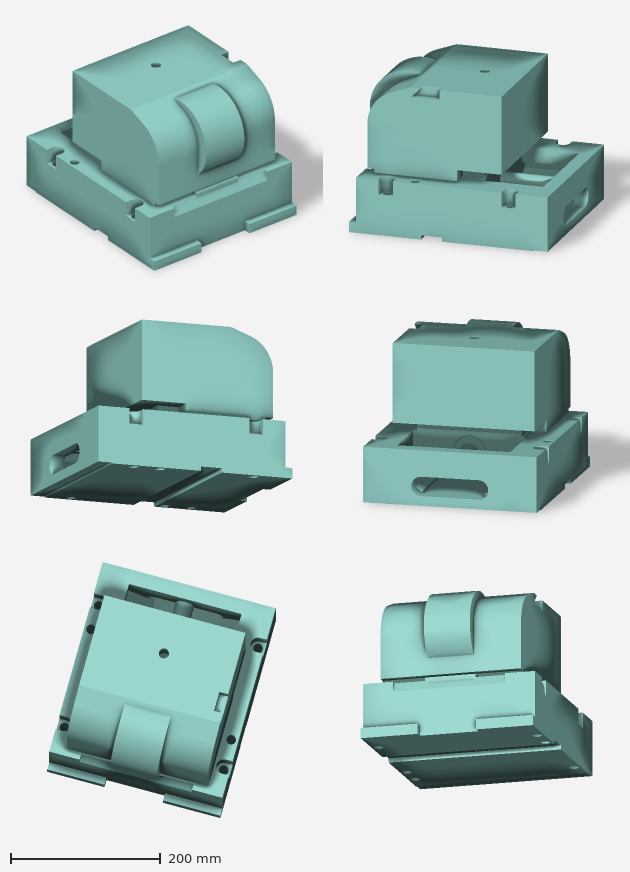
import cadquery as cq
import math

BASE_LENGTH = 270.0
BASE_WIDTH = 240.0
BASE_HEIGHT = 77.5
TOTAL_LENGTH = 280.0
TOE_HEIGHT = 14.3
TOE_GAP_WIDTH = 81.2
RELIEF_DEPTH = 1.0
KEYWAY_START = 148.5
KEYWAY_WIDTH = 30.0
KEYWAY_DEPTH = 6.0

END_WALL = 20.0
CHANNEL_OPENING = 156.0
UNDERCUT_WIDTH = 178.0
RAIL_THICKNESS = 21.0
FLOOR_HEIGHT = 18.0
FLOOR_WIDTH = 85.0
FLOOR_RELIEF = 3.5
FLANK_ANGLE = 30.0
FLANK_RISE = (UNDERCUT_WIDTH - FLOOR_WIDTH) / 2 * math.tan(math.radians(FLANK_ANGLE))

WINDOW_LENGTH = 105.8
WINDOW_HEIGHT = 26.5
WINDOW_CENTER_HEIGHT = FLOOR_HEIGHT - FLOOR_RELIEF + WINDOW_HEIGHT / 2

HOLE_DIAMETER = 13.0
HOLE_EDGE_DISTANCE = 9.5
HOLE_ROW = BASE_WIDTH / 2 - HOLE_EDGE_DISTANCE
BOLT_POSITIONS = (55.0, 228.0)
SEAT_WIDTH = 20.0
SEAT_DEPTH = 21.0
DOWEL_POINTS = [(189.8, HOLE_ROW), (93.2, -HOLE_ROW)]

HEAD_START = 72.0
HEAD_END = 261.2
HEAD_WIDTH = 195.7
HEAD_TOP = 205.0
HEAD_BOTTOM = 79.8
SLOPE_START = 200.2
SLOPE_ANGLE = 20.0
SHOULDER_RADIUS = 50.0
OVERHANG_END = 135.2
OVERHANG_HEIGHT = 95.2
STEP_START = 251.0
STEP_HEIGHT = 85.0
SIDE_NOTCH_START = 159.3
SIDE_NOTCH_LENGTH = 27.0
SIDE_NOTCH_DEPTH = 12.3
SIDE_NOTCH_DROP = 14.0
TOP_HOLE_POSITION = 128.0
TOP_HOLE_DIAMETER = 13.7
TOP_HOLE_DEPTH = 28.0
DRILL_POINT_ANGLE = 118.0

KEEL_START = 102.0
NECK_WIDTH = 154.0
WEB_START = 104.2
WEB_WIDTH = 144.8
WEB_STEP_HEIGHT = 83.0
KEEL_TOP_END = 262.0
KEEL_END_ANGLE = 60.0
PAD_END = 263.5
PAD_WIDTH = 70.0
PAD_TOP = 81.8
PAD_ROOT = 5.5

ROLLER_RADIUS = 55.0
ROLLER_WIDTH = 64.0
ROLLER_X = 224.8
ROLLER_Z = HEAD_TOP - ROLLER_RADIUS
ROD_RADIUS = 12.5
ROD_HEIGHT = 53.5
ROD_CHAMFER = 2.2
ROD_RECESS_RADIUS = 23.2
ROD_RECESS_DEPTH = 1.0
ROD_RECESS_TAPER = 45.0


def box(x_start, x_end, width, z_start, z_end):
    """Box spanning the given X and Z ranges, centred on the XZ plane."""
    return cq.Workplane("XY").box(
        x_end - x_start, width, z_end - z_start, centered=(False, True, False)
    ).translate((x_start, 0, z_start))


def channel_body(x_start, x_end, opening):
    """Solid with the channel section: flat floor, rising flanks, undercut and opening."""
    rail_bottom = BASE_HEIGHT - RAIL_THICKNESS
    right_side = [
        (FLOOR_WIDTH / 2, FLOOR_HEIGHT),
        (UNDERCUT_WIDTH / 2, FLOOR_HEIGHT + FLANK_RISE),
        (UNDERCUT_WIDTH / 2, rail_bottom),
        (opening / 2, rail_bottom),
        (opening / 2, BASE_HEIGHT),
    ]
    left_side = [(-y, z) for y, z in reversed(right_side)]
    return (
        cq.Workplane("YZ", origin=(x_start, 0, 0))
        .polyline(right_side + left_side)
        .close()
        .extrude(x_end - x_start)
    )


def cylinder_along_x(x_start, x_end, radius):
    return (
        cq.Workplane("YZ", origin=(x_start, 0, ROD_HEIGHT))
        .circle(radius)
        .extrude(x_end - x_start)
    )


def base_block():
    block = box(0, BASE_LENGTH, BASE_WIDTH, 0, BASE_HEIGHT)
    toe = box(BASE_LENGTH, TOTAL_LENGTH, BASE_WIDTH, 0, TOE_HEIGHT)
    toe_gap = box(BASE_LENGTH, TOTAL_LENGTH, TOE_GAP_WIDTH, 0, TOE_HEIGHT)
    relief = box(0, END_WALL, BASE_WIDTH, 0, RELIEF_DEPTH)
    keyway = box(KEYWAY_START, KEYWAY_START + KEYWAY_WIDTH, BASE_WIDTH, 0, KEYWAY_DEPTH)
    return block.union(toe.cut(toe_gap)).cut(relief).cut(keyway)


def floor_relief():
    """Clearance in the channel floor, closed by a ledge at the far end that carries the keel."""
    return box(
        END_WALL, BASE_LENGTH - END_WALL, FLOOR_WIDTH, FLOOR_HEIGHT - FLOOR_RELIEF, FLOOR_HEIGHT
    )


def end_wall_window():
    return (
        cq.Workplane("YZ", origin=(0, 0, WINDOW_CENTER_HEIGHT))
        .slot2D(WINDOW_LENGTH, WINDOW_HEIGHT)
        .extrude(END_WALL)
    )


def bolt_seat(x, side):
    """Round-ended seat, open to the side face, for a bolt head."""
    seat_bottom = BASE_HEIGHT - SEAT_DEPTH
    seat = (
        cq.Workplane("XY", origin=(x, side * HOLE_ROW, seat_bottom))
        .circle(SEAT_WIDTH / 2)
        .extrude(SEAT_DEPTH)
    )
    mouth = (
        cq.Workplane("XY", origin=(x, side * (HOLE_ROW + HOLE_EDGE_DISTANCE / 2), seat_bottom))
        .rect(SEAT_WIDTH, HOLE_EDGE_DISTANCE)
        .extrude(SEAT_DEPTH)
    )
    return seat.union(mouth)


def make_base():
    base = base_block()
    base = base.cut(channel_body(END_WALL, BASE_LENGTH, CHANNEL_OPENING))
    base = base.cut(floor_relief())
    base = base.cut(end_wall_window())
    bolt_points = []
    for x in BOLT_POSITIONS:
        for side in (-1, 1):
            base = base.cut(bolt_seat(x, side))
            bolt_points.append((x, side * HOLE_ROW))
    holes = (
        cq.Workplane("XY")
        .pushPoints(bolt_points + DOWEL_POINTS)
        .circle(HOLE_DIAMETER / 2)
        .extrude(BASE_HEIGHT)
    )
    return base.cut(holes)


def head_block():
    """Head with a sloped top end that rounds over into its vertical end face."""
    slope_drop = (HEAD_END - SLOPE_START) * math.tan(math.radians(SLOPE_ANGLE))
    outline = [
        (HEAD_START, OVERHANG_HEIGHT),
        (OVERHANG_END, OVERHANG_HEIGHT),
        (OVERHANG_END, HEAD_BOTTOM),
        (STEP_START, HEAD_BOTTOM),
        (STEP_START, STEP_HEIGHT),
        (HEAD_END, STEP_HEIGHT),
        (HEAD_END, HEAD_TOP - slope_drop),
        (SLOPE_START, HEAD_TOP),
        (HEAD_START, HEAD_TOP),
    ]
    head = cq.Workplane("XZ").polyline(outline).close().extrude(HEAD_WIDTH / 2, both=True)
    shoulder = cq.selectors.NearestToPointSelector((HEAD_END, 0, HEAD_TOP - slope_drop))
    return head.edges(shoulder).fillet(SHOULDER_RADIUS)


def side_notch():
    """Blind notch in the top edge, undercut at 45 degrees towards +X."""
    notch_end = SIDE_NOTCH_START + SIDE_NOTCH_LENGTH
    notch_floor = HEAD_TOP - SIDE_NOTCH_DROP
    return (
        cq.Workplane("XZ", origin=(0, HEAD_WIDTH / 2, 0))
        .polyline([
            (SIDE_NOTCH_START, HEAD_TOP),
            (SIDE_NOTCH_START, notch_floor),
            (notch_end + SIDE_NOTCH_DROP, notch_floor),
            (notch_end, HEAD_TOP),
        ])
        .close()
        .extrude(SIDE_NOTCH_DEPTH)
    )


def top_hole():
    """Blind drilled hole with a conical bottom, as a revolved half section."""
    radius = TOP_HOLE_DIAMETER / 2
    point_depth = radius / math.tan(math.radians(DRILL_POINT_ANGLE / 2))
    half_section = [
        (0, 0),
        (radius, 0),
        (radius, -TOP_HOLE_DEPTH),
        (0, -TOP_HOLE_DEPTH - point_depth),
    ]
    return (
        cq.Workplane("XZ", origin=(TOP_HOLE_POSITION, 0, HEAD_TOP))
        .polyline(half_section)
        .close()
        .revolve(360, (0, 0, 0), (0, 1, 0))
    )


def keel():
    """Part of the slide inside the channel, with a sloping far end."""
    body = channel_body(KEEL_START, BASE_LENGTH, CHANNEL_OPENING)
    end_drop = (BASE_LENGTH - KEEL_TOP_END) * math.tan(math.radians(KEEL_END_ANGLE))
    end_wedge = (
        cq.Workplane("XZ")
        .polyline([
            (KEEL_TOP_END, BASE_HEIGHT),
            (BASE_LENGTH, BASE_HEIGHT),
            (BASE_LENGTH, BASE_HEIGHT - end_drop),
        ])
        .close()
        .extrude(BASE_WIDTH / 2, both=True)
    )
    return body.cut(end_wedge)


def roller():
    return (
        cq.Workplane("XZ", origin=(ROLLER_X, 0, ROLLER_Z))
        .circle(ROLLER_RADIUS)
        .extrude(ROLLER_WIDTH / 2, both=True)
    )


def rod_recess():
    """Shallow tapered recess around the rod in the keel's end face."""
    return (
        cq.Workplane("YZ", origin=(KEEL_START, 0, ROD_HEIGHT))
        .circle(ROD_RECESS_RADIUS)
        .extrude(ROD_RECESS_DEPTH, taper=ROD_RECESS_TAPER)
    )


def make_slide():
    slide = head_block().cut(side_notch()).cut(top_hole())
    slide = slide.union(keel())
    slide = slide.union(box(KEEL_START, STEP_START, NECK_WIDTH, BASE_HEIGHT, HEAD_BOTTOM))
    slide = slide.union(box(KEEL_START, OVERHANG_END, WEB_WIDTH, HEAD_BOTTOM, WEB_STEP_HEIGHT))
    slide = slide.union(box(WEB_START, OVERHANG_END, WEB_WIDTH, WEB_STEP_HEIGHT, OVERHANG_HEIGHT))
    slide = slide.union(box(STEP_START, PAD_END, PAD_WIDTH, BASE_HEIGHT - PAD_ROOT, PAD_TOP))
    slide = slide.union(roller())
    recess_floor = KEEL_START + ROD_RECESS_DEPTH
    slide = slide.cut(rod_recess())
    rod = cylinder_along_x(END_WALL, recess_floor, ROD_RADIUS).faces("<X").chamfer(ROD_CHAMFER)
    return slide.union(rod)


base = make_base()
slide = make_slide()
result = cq.Compound.makeCompound([base.val(), slide.val()])